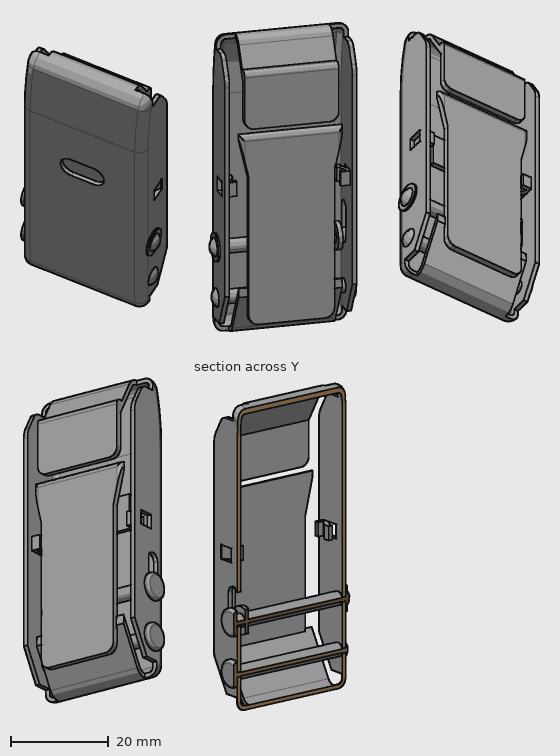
import cadquery as cq
import math

half_width = 14.05
sheet = 1.0
corner_radius = 2.0
curl_radius = 3.0
height = 65.0
bottom_curl_y = curl_radius
bottom_curl_z = curl_radius
top_curl_y = 4.35
top_curl_z = height - curl_radius
crown_start_z = 50.95
slant_angle = math.radians(60)

wall_back_y = 10.65
wall_top_round = 1.95
wall_back_round = 4.55

lower_half_width = 11.0
upper_half_width = 10.0
plate_back_y = 11.3
plate_thickness = 1.3
plate_front_y = plate_back_y - plate_thickness
plate_top_z = 59.0
plate_bottom_z = 3.85
plate_corner_radius = 2.0
plate_side_round = 1.0
plate_edge_round = 1.2
upper_plate_bottom_z = 46.5
lower_plate_top_z = 45.2
taper_top_z = 43.95
taper_bottom_z = 35.9
tongue_half_width = 9.1

front_slot_length = 10.0
front_slot_height = 5.0
front_slot_z = 37.95
slot_pad_margin = 1.3

window_front_y = 4.95
window_back_y = 8.4
window_bottom_z = 31.45
window_top_z = 34.5
tab_inner_x = 11.05
tab_back_y = 9.2
leaf_root_x = 13.8
leaf_bend_y = 5.7
leaf_tip_y = 4.8

pin_y = 4.3
lower_pin_z = 7.9
upper_pin_z = 18.9
shaft_radius = 1.5
side_slot_width = 3.1
side_slot_top_z = 26.45
head_radius = 3.0
head_thickness = 1.0
head_round = 0.6
dome_radius = 2.0
dome_height = 1.05
lower_dome_height = 1.0
washer_thickness = 0.4
collar_outer_x = 12.1
collar_inner_x = 11.1


def extrude_across(profile, half):
    """Extrude a closed YZ profile from -half to +half along X."""
    return profile.extrude(half, both=True)


def box_between(x_range, y_range, z_range):
    size = [high - low for low, high in (x_range, y_range, z_range)]
    corner = (x_range[0], y_range[0], z_range[0])
    return cq.Workplane("XY").box(*size, centered=False).translate(corner)


def on_circle(center_y, center_z, radius, angle):
    return (center_y + radius * math.cos(angle), center_z + radius * math.sin(angle))


def front_block(inset):
    """Solid with the rounded front of the housing, every outer face moved inward by inset."""
    radius = curl_radius - inset
    rise = top_curl_z - crown_start_z
    crown_radius = (rise**2 + top_curl_y**2 - curl_radius**2) / (2 * (top_curl_y - curl_radius))
    join_angle = math.atan2(rise, top_curl_y - crown_radius)
    crown_end = on_circle(crown_radius, crown_start_z, crown_radius - inset, join_angle)
    crown_mid = on_circle(crown_radius, crown_start_z, crown_radius - inset, (join_angle + math.pi) / 2)
    top_mid = on_circle(top_curl_y, top_curl_z, radius, (join_angle + math.pi / 2) / 2)
    bottom_mid = on_circle(bottom_curl_y, bottom_curl_z, radius, math.radians(225))
    profile = (
        cq.Workplane("YZ")
        .moveTo(bottom_curl_y, inset)
        .threePointArc(bottom_mid, (inset, bottom_curl_z))
        .lineTo(inset, crown_start_z)
        .threePointArc(crown_mid, crown_end)
        .threePointArc(top_mid, (top_curl_y, height - inset))
    )
    profile = profile.lineTo(wall_back_y, height - inset).lineTo(wall_back_y, inset).close()
    block = extrude_across(profile, half_width - inset)
    return block.faces("<X or >X").edges("not >Y").fillet(corner_radius - inset)


def front_cover():
    """Hollow front that stops where its top and bottom curls are highest and lowest."""
    behind_cover = cq.Workplane("YZ").polyline(
        [
            (top_curl_y, height),
            (plate_back_y, height),
            (plate_back_y, 0),
            (bottom_curl_y, 0),
            (bottom_curl_y, height / 2),
            (top_curl_y, height / 2),
        ]
    )
    return front_block(0).cut(front_block(sheet)).cut(extrude_across(behind_cover.close(), half_width))


def slant_z(y, center_y, center_z, side):
    """Z of the slanted outer line tangent to a curl; side is +1 for the top, -1 for the bottom."""
    tangent_y, tangent_z = on_circle(center_y, center_z, curl_radius, side * (math.pi / 2 - slant_angle))
    return tangent_z - side * (y - tangent_y) * math.tan(slant_angle)


def side_walls():
    top_y = top_curl_y + curl_radius / math.sin(slant_angle)
    bottom_y = bottom_curl_y + curl_radius / math.sin(slant_angle)
    top_corner = (top_y, top_curl_z)
    back_corner = (wall_back_y, slant_z(wall_back_y, top_curl_y, top_curl_z, 1))
    outline = [
        (bottom_curl_y, bottom_curl_z),
        (bottom_y, bottom_curl_z),
        (wall_back_y, slant_z(wall_back_y, bottom_curl_y, bottom_curl_z, -1)),
        back_corner,
        top_corner,
        (top_curl_y, top_curl_z),
        (corner_radius + sheet, crown_start_z),
        (corner_radius + sheet, bottom_curl_z),
    ]
    slab = extrude_across(cq.Workplane("YZ").polyline(outline).close(), half_width)
    for corner, radius in ((top_corner, wall_top_round), (back_corner, wall_back_round)):
        nearest = cq.selectors.NearestToPointSelector((0, *corner))
        slab = slab.edges("|X").edges(nearest).fillet(radius)
    gap = half_width - sheet
    return slab.cut(box_between((-gap, gap), (0, plate_back_y), (0, height)))


def curl_strap(center_y, center_z, side, half):
    """Strap that curls back from the front and slants to the back plate."""
    inner_radius = curl_radius - sheet
    end_y = (plate_front_y + wall_back_y) / 2
    end_z = slant_z(end_y, center_y, center_z, side)
    tangent = side * (math.pi / 2 - slant_angle)
    middle = (tangent + side * math.pi / 2) / 2
    profile = (
        cq.Workplane("YZ")
        .moveTo(center_y, center_z + side * curl_radius)
        .threePointArc(
            on_circle(center_y, center_z, curl_radius, middle),
            on_circle(center_y, center_z, curl_radius, tangent),
        )
        .lineTo(end_y, end_z)
        .lineTo(end_y, end_z - side * sheet / math.cos(slant_angle))
        .lineTo(*on_circle(center_y, center_z, inner_radius, tangent))
        .threePointArc(
            on_circle(center_y, center_z, inner_radius, middle), (center_y, center_z + side * inner_radius)
        )
        .close()
    )
    return extrude_across(profile, half)


def back_plate(half_outline):
    """Plate from the right half of its XZ outline, with a rounded top edge and lower corners."""
    outline = half_outline + [(-x, z) for x, z in reversed(half_outline)]
    plate = cq.Workplane("XZ", origin=(0, plate_back_y, 0)).polyline(outline).close().extrude(plate_thickness)
    plate = plate.edges("|Y and <Z").fillet(plate_corner_radius)
    return plate.edges("|X and >Y and >Z").fillet(plate_edge_round)


def upper_back_plate():
    return back_plate([(upper_half_width, upper_plate_bottom_z), (upper_half_width, plate_top_z)])


def plate_top_wedge():
    """Wedge that carries the flat top of the back plate forward to the slanted strap."""
    slant_y = top_curl_y + curl_radius / math.sin(slant_angle)
    strap_y = slant_y + (top_curl_z - plate_top_z) / math.tan(slant_angle)
    front_z = slant_z(plate_front_y, top_curl_y, top_curl_z, 1)
    outline = [(strap_y, plate_top_z), (plate_front_y, plate_top_z), (plate_front_y, front_z)]
    return extrude_across(cq.Workplane("YZ").polyline(outline).close(), upper_half_width)


def lower_back_plate():
    """Plate with a wide top that tapers down to a tongue; the wide part has rounded side edges."""
    plate = back_plate(
        [
            (tongue_half_width, plate_bottom_z),
            (tongue_half_width, taper_bottom_z),
            (lower_half_width, taper_top_z),
            (lower_half_width, lower_plate_top_z),
        ]
    )
    rounded_bar = box_between(
        (-lower_half_width, lower_half_width),
        (plate_front_y, plate_back_y),
        (plate_bottom_z, lower_plate_top_z),
    )
    return plate.intersect(rounded_bar.edges("|Z and >Y").fillet(plate_side_round))


def window_cutter():
    return box_between(
        (-half_width, half_width), (window_front_y, window_back_y), (window_bottom_z, window_top_z)
    )


def window_tab(side):
    """Flange inside a window's back edge, with a leaf that slants forward to a straight tip."""
    wall_x = half_width - sheet
    flange_front_y = tab_back_y - sheet
    leaf_outer_x = tab_inner_x + sheet
    leaf_slope = (window_back_y - leaf_bend_y) / (leaf_root_x - leaf_outer_x)
    leaf_inner_bend_y = leaf_bend_y + sheet / 2
    outline = [
        (wall_x, tab_back_y),
        (tab_inner_x, tab_back_y),
        (tab_inner_x, flange_front_y),
        (tab_inner_x + (flange_front_y - leaf_inner_bend_y) / leaf_slope, flange_front_y),
        (tab_inner_x, leaf_inner_bend_y),
        (tab_inner_x, leaf_tip_y),
        (leaf_outer_x, leaf_tip_y),
        (leaf_outer_x, leaf_bend_y),
        (leaf_root_x, window_back_y),
        (wall_x, window_back_y),
    ]
    points = [(side * x, y) for x, y in outline]
    tab = cq.Workplane("XY").polyline(points).close().extrude(window_top_z - window_bottom_z)
    return tab.translate((0, 0, window_bottom_z))


def front_slot_cutter():
    slot = cq.Workplane("XZ").center(0, front_slot_z).slot2D(front_slot_length, front_slot_height)
    return slot.extrude(-sheet)


def front_slot_pad():
    """Pad inside the front face that closes the finger slot."""
    half_length = front_slot_length / 2 + slot_pad_margin
    half_height = front_slot_height / 2 + slot_pad_margin
    z_range = (front_slot_z - half_height, front_slot_z + half_height)
    return box_between((-half_length, half_length), (sheet, 2 * sheet), z_range)


def side_slot_cutter():
    """Slot in the left wall, along which the upper pin can slide."""
    length = side_slot_top_z - upper_pin_z + side_slot_width / 2
    center_z = side_slot_top_z - length / 2
    slot = cq.Workplane("YZ", origin=(-half_width, pin_y, center_z)).slot2D(length, side_slot_width, 90)
    return slot.extrude(sheet)


def pin_hole_cutter(z):
    return extrude_across(cq.Workplane("YZ").center(pin_y, z).circle(shaft_radius), half_width)


def make_housing():
    body = front_cover().union(side_walls())
    body = body.union(curl_strap(top_curl_y, top_curl_z, 1, upper_half_width))
    body = body.union(curl_strap(bottom_curl_y, bottom_curl_z, -1, lower_half_width))
    body = body.union(upper_back_plate()).union(plate_top_wedge()).union(lower_back_plate())
    body = body.union(front_slot_pad()).cut(window_cutter())
    for side in (-1, 1):
        body = body.union(window_tab(side))
    body = body.cut(front_slot_cutter()).cut(side_slot_cutter())
    return body.cut(pin_hole_cutter(lower_pin_z)).cut(pin_hole_cutter(upper_pin_z))


def make_pin(z, washer, dome):
    """Pin along X with a flat head on the left and a domed end on the right."""
    dome_x = half_width + washer
    left_end = cq.Workplane("YZ", origin=(-half_width, pin_y, z))
    shaft = left_end.circle(shaft_radius).extrude(half_width + dome_x)
    head = left_end.circle(head_radius).extrude(-head_thickness).faces("<X").edges().fillet(head_round)
    sphere_radius = (dome_radius**2 + dome**2) / (2 * dome)
    half_rim_angle = math.atan2(dome, dome_radius)
    dome_middle = on_circle(dome_x + dome - sphere_radius, 0, sphere_radius, half_rim_angle)
    profile = (
        cq.Workplane("XY")
        .moveTo(dome_x, 0)
        .lineTo(dome_x, dome_radius)
        .threePointArc(dome_middle, (dome_x + dome, 0))
        .close()
    )
    cap = profile.revolve(360, (0, 0, 0), (1, 0, 0)).translate((0, pin_y, z))
    return shaft.union(head).union(cap)


def make_slide_pin():
    """Upper pin, with a washer outside the right wall and a collar inside the left wall."""
    washer = cq.Workplane("YZ", origin=(half_width, pin_y, upper_pin_z)).circle(head_radius)
    collar = cq.Workplane("YZ", origin=(-collar_outer_x, pin_y, upper_pin_z)).circle(head_radius)
    pin = make_pin(upper_pin_z, washer_thickness, dome_height)
    return pin.union(washer.extrude(washer_thickness)).union(collar.extrude(collar_outer_x - collar_inner_x))


housing = make_housing()
pivot_pin = make_pin(lower_pin_z, 0, lower_dome_height)
slide_pin = make_slide_pin()

result = cq.Compound.makeCompound([housing.val(), pivot_pin.val(), slide_pin.val()])